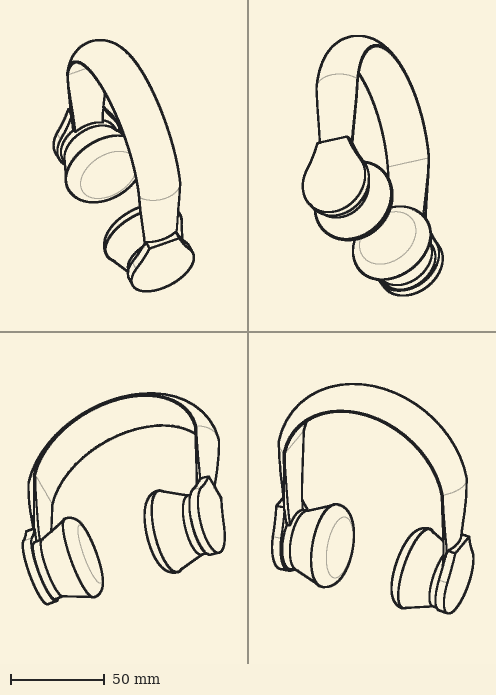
import cadquery as cq
import math

ARCH_OUTER_RADIUS = 55.0
ARCH_INNER_RADIUS = 47.0
ARCH_WIDTH = 24.0
ARCH_END_ANGLE = 10.4
ARCH_SIDE_HEIGHT = 0.7
ARCH_THICKNESS = ARCH_OUTER_RADIUS - ARCH_INNER_RADIUS

LEG_SECTIONS = [
    (46.3, 1.0, 5.0, 23.3, 0.8, 7.7, 0.0),
    (46.1, -16.0, -1.0, 20.6, 1.4, 6.2, 0.3),
    (45.8, -29.3, -4.0, 18.6, 2.2, 4.2, 0.6),
    (45.0, -40.1, -5.0, 17.0, 1.5, 2.1, 0.5),
]

CUP_TILT = 5.0
CUP_FACE_X = 50.6
CUP_FACE_Z = -54.64
NECK_RADIUS = 32.41 / 2
PAD_RADIUS = 45.0 / 2
PAD_LIP = 0.3
PAD_FILLET = 6.0
PLATE_THICKNESS = 5.0
NECK_END = 9.5
CONE_END = 25.0
PAD_END = 31.2

PLATE_RADIUS = 18.3
PLATE_CENTRE_OFFSET = 1.4
TAB_TOP = 25.4
TAB_WIDTH = 17.4
TAB_BLEND_HEIGHT = 8.9
TAB_SIDE_SAG = 0.5


def band_section(plane, width, side_height, thickness, inset):
    """Crowned band profile; local X points outward from the inner face.

    The inner face is narrower than the full width by inset on each side.
    """
    half = width / 2
    return (
        cq.Workplane(plane)
        .moveTo(0, inset - half)
        .lineTo(side_height, -half)
        .threePointArc((thickness, 0), (side_height, half))
        .lineTo(0, half - inset)
        .close()
    )


def section_plane(x, z, tilt):
    """Plane whose X axis points outward, raised by tilt, and whose normal points up the band."""
    angle = math.radians(tilt)
    return cq.Plane(
        origin=(x, 0, z),
        xDir=(math.cos(angle), 0, math.sin(angle)),
        normal=(-math.sin(angle), 0, math.cos(angle)),
    )


def arch_end_plane():
    angle = math.radians(ARCH_END_ANGLE)
    x = ARCH_INNER_RADIUS * math.cos(angle)
    z = ARCH_INNER_RADIUS * math.sin(angle)
    return section_plane(x, z, ARCH_END_ANGLE)


def arch_end_section():
    return band_section(arch_end_plane(), ARCH_WIDTH, ARCH_SIDE_HEIGHT, ARCH_THICKNESS, inset=0)


def make_arch():
    sweep_angle = 180 - 2 * ARCH_END_ANGLE
    section = arch_end_section().val()
    axis_start = cq.Vector(0, 0, 0)
    axis_end = cq.Vector(0, -1, 0)
    return cq.Workplane(cq.Solid.revolve(section, [], sweep_angle, axis_start, axis_end))


def make_leg():
    wires = [arch_end_section().val()]
    for x, z, tilt, width, side_height, thickness, inset in LEG_SECTIONS:
        plane = section_plane(x, z, tilt)
        wires.append(band_section(plane, width, side_height, thickness, inset).val())
    return cq.Workplane(cq.Solid.makeLoft(wires))


def cup_plane():
    """Outer face of the +X cup: local Y up the face, normal inward along the cup axis."""
    angle = math.radians(CUP_TILT)
    return cq.Plane(
        origin=(CUP_FACE_X, 0, CUP_FACE_Z),
        xDir=(0, -1, 0),
        normal=(-math.cos(angle), 0, math.sin(angle)),
    )


def make_cup():
    plane = cup_plane()
    neck = cq.Workplane(plane).circle(NECK_RADIUS).extrude(NECK_END)
    cone = (
        cq.Workplane(plane)
        .workplane(offset=NECK_END)
        .circle(NECK_RADIUS)
        .workplane(offset=CONE_END - NECK_END)
        .circle(PAD_RADIUS - PAD_LIP)
        .loft()
    )
    pad = (
        cq.Workplane(plane)
        .workplane(offset=CONE_END)
        .circle(PAD_RADIUS)
        .extrude(PAD_END - CONE_END)
        .faces(cq.selectors.DirectionMinMaxSelector(plane.zDir, True))
        .edges()
        .fillet(PAD_FILLET)
    )
    return neck.union(cone).union(pad)


def make_plate():
    half_tab = TAB_WIDTH / 2
    blend_x = math.sqrt(PLATE_RADIUS**2 - TAB_BLEND_HEIGHT**2)
    blend_y = PLATE_CENTRE_OFFSET + TAB_BLEND_HEIGHT
    disc_bottom = PLATE_CENTRE_OFFSET - PLATE_RADIUS
    return (
        cq.Workplane(cup_plane())
        .moveTo(-half_tab, TAB_TOP)
        .sagittaArc((-blend_x, blend_y), TAB_SIDE_SAG)
        .threePointArc((0, disc_bottom), (blend_x, blend_y))
        .sagittaArc((half_tab, TAB_TOP), TAB_SIDE_SAG)
        .close()
        .extrude(PLATE_THICKNESS)
    )


side = make_leg().union(make_cup()).union(make_plate())
result = make_arch().union(side).union(side.mirror("YZ"))